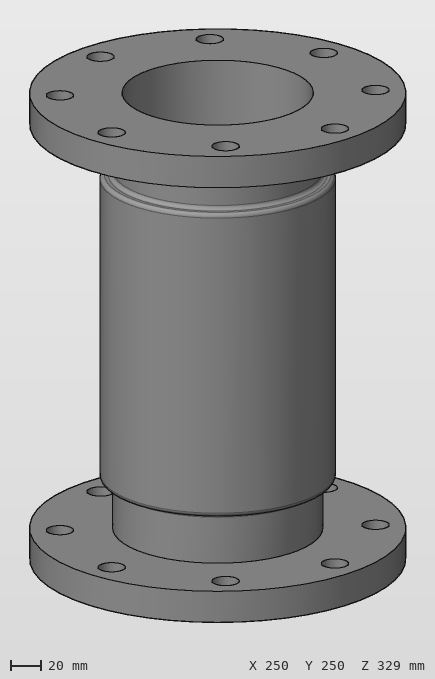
import cadquery as cq

length = 329.0
flange_diameter = 250.0
flange_thickness = 22.0

pipe_diameter = 139.8
bore_diameter = 127.0
sleeve_diameter = 156.5
sleeve_length = 214.2
sleeve_rim_radius = 3.0
sleeve_root_radius = 3.0

bolt_count = 8
bolt_circle_diameter = 210.0
bolt_hole_diameter = 18.0
first_bolt_angle = 360 / bolt_count / 2


def cylinder(diameter, bottom_z, height):
    """Upright cylinder on the Z axis."""
    return cq.Workplane("XY").workplane(offset=bottom_z).circle(diameter / 2).extrude(height)


def sleeve():
    """Thick solid sleeve, revolved, with rounded rims and a fillet where each end meets the pipe."""
    pipe_radius = pipe_diameter / 2
    outer_radius = sleeve_diameter / 2
    end_z = sleeve_length / 2
    root_z = end_z + sleeve_root_radius
    root_radial = pipe_radius + sleeve_root_radius
    rim_radial = outer_radius - sleeve_rim_radius
    rim_z = end_z - sleeve_rim_radius
    return (
        cq.Workplane("XZ")
        .moveTo(0, -root_z)
        .lineTo(pipe_radius, -root_z)
        .radiusArc((root_radial, -end_z), sleeve_root_radius)
        .lineTo(rim_radial, -end_z)
        .radiusArc((outer_radius, -rim_z), -sleeve_rim_radius)
        .lineTo(outer_radius, rim_z)
        .radiusArc((rim_radial, end_z), -sleeve_rim_radius)
        .lineTo(root_radial, end_z)
        .radiusArc((pipe_radius, root_z), sleeve_root_radius)
        .lineTo(0, root_z)
        .close()
        .revolve(360, (0, 0), (0, 1))
    )


def flange(bottom_z):
    """Flat disc with a ring of through bolt holes."""
    return (
        cylinder(flange_diameter, bottom_z, flange_thickness)
        .faces(">Z")
        .workplane()
        .polarArray(bolt_circle_diameter / 2, first_bolt_angle, 360, bolt_count)
        .hole(bolt_hole_diameter)
    )


pipe = cylinder(pipe_diameter, -length / 2, length)
lower_flange = flange(-length / 2)
upper_flange = flange(length / 2 - flange_thickness)
bore = cylinder(bore_diameter, -length / 2, length)

result = pipe.union(sleeve()).union(lower_flange).union(upper_flange).cut(bore)